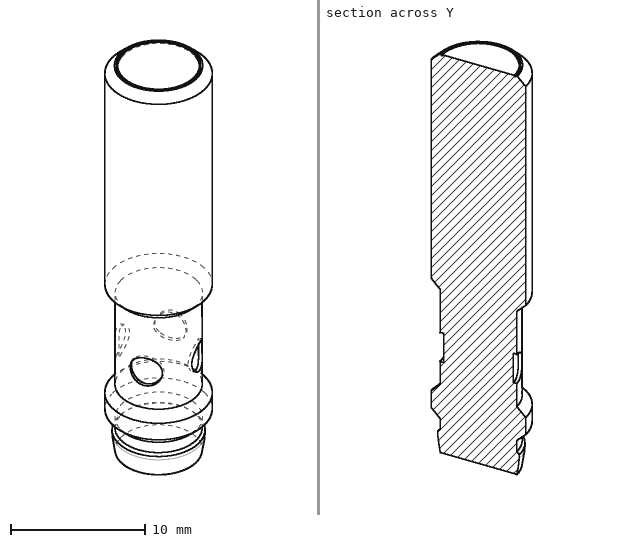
import cadquery as cq

length = 35.0
body_diameter = 8.0
body_radius = body_diameter / 2
neck_radius = 3.25
shoulder_width = body_radius - neck_radius

rim_bottom = 1.55
rim_top = 1.82
groove_bottom = 2.03
collar_bottom = 2.98
collar_top = 6.0
body_bottom = 14.3
top_chamfer_height = 0.7

rim_radius = 3.45
tail_bulge = 0.05

end_rim_radius = 3.3
cap_radius = 3.05
cap_gap = 0.1
cap_gap_depth = 0.1

dimple_radius = 1.25
dimple_height = 9.28
dimple_depth = 0.28
dimple_count = 4


def turned_body():
    """Revolve the half outline about the Z axis."""
    tail_middle = ((neck_radius + rim_radius) / 2 + tail_bulge, rim_bottom / 2)
    return (
        cq.Workplane("XZ")
        .moveTo(0, 0)
        .lineTo(neck_radius, 0)
        .threePointArc(tail_middle, (rim_radius, rim_bottom))
        .lineTo(rim_radius, rim_top)
        .lineTo(neck_radius, groove_bottom)
        .lineTo(neck_radius, collar_bottom)
        .lineTo(body_radius, collar_bottom + shoulder_width)
        .lineTo(body_radius, collar_top - shoulder_width)
        .lineTo(neck_radius, collar_top)
        .lineTo(neck_radius, body_bottom)
        .lineTo(body_radius, body_bottom + shoulder_width)
        .lineTo(body_radius, length - top_chamfer_height)
        .lineTo(end_rim_radius, length)
        .lineTo(0, length)
        .close()
        .revolve(360, (0, 0, 0), (0, 1, 0))
    )


def cap_groove():
    """Narrow ring groove that outlines the cap on the top face."""
    return (
        cq.Workplane("XY", origin=(0, 0, length - cap_gap_depth))
        .circle(cap_radius + cap_gap)
        .circle(cap_radius)
        .extrude(cap_gap_depth)
    )


def dimple(angle):
    """Radial round cutter whose floor follows the neck at the dimple depth."""
    cutter = (
        cq.Workplane("XZ", origin=(0, 0, dimple_height))
        .circle(dimple_radius)
        .extrude(body_radius)
    )
    core = cq.Workplane("XY").circle(neck_radius - dimple_depth).extrude(body_bottom)
    return cutter.cut(core).rotate((0, 0, 0), (0, 0, 1), angle)


result = turned_body().cut(cap_groove())
for index in range(dimple_count):
    result = result.cut(dimple(index * 360 / dimple_count))